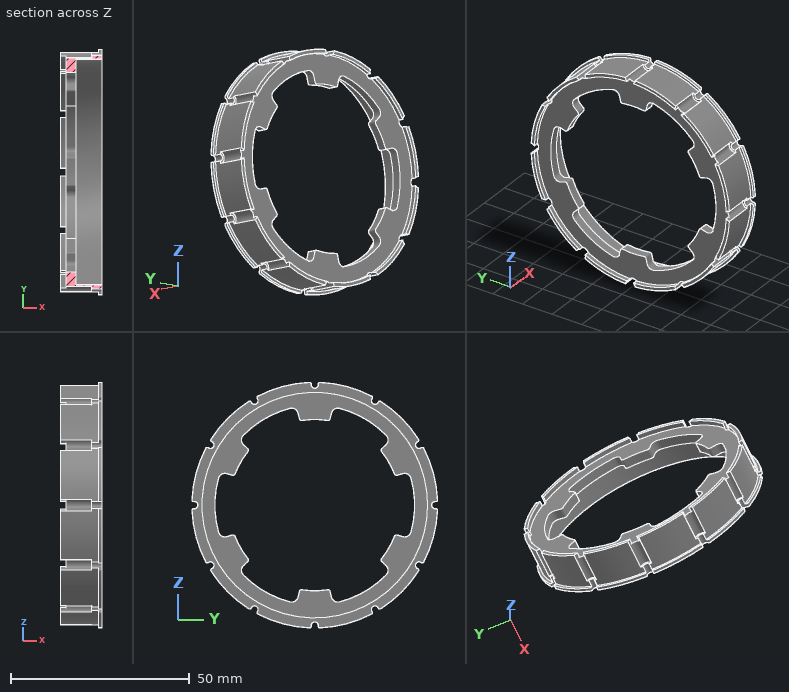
import cadquery as cq
import math

length = 11.7
flange_thickness = 1.0
web_start = 1.5
web_thickness = 2.9
wide_groove_length = 8.7

body_radius = 33.55
rim_inner_radius = 32.45
web_bore_radius = 27.9
rear_bore_radius = 31.55

groove_count = 12
groove_centre_radius = 33.7
wide_groove_radius = 1.65
narrow_groove_radius = 0.95
flange_corner_radius = 0.5

overall_height = 68.7
corner_centre_height = overall_height / 2 - flange_corner_radius
corner_centre_offset = narrow_groove_radius + flange_corner_radius
flange_radius = flange_corner_radius + math.hypot(corner_centre_height, corner_centre_offset)

lug_count = 6
lug_tip_radius = 23.9
lug_tip_half_width = 4.25
lug_flank_angle = 14.0
lug_tip_fillet = 0.6
lug_root_fillet = 1.8

overlap = 0.7


def disc(radius, start, thickness):
    """Solid cylinder on the X axis."""
    return cq.Workplane("YZ", origin=(start, 0, 0)).circle(radius).extrude(thickness)


def around_axis(feature, count):
    """Union of equally spaced copies of a feature about the X axis."""
    copies = feature
    for index in range(1, count):
        copies = copies.union(feature.rotate((0, 0, 0), (1, 0, 0), index * 360 / count))
    return copies


def distance_from_axis(edge):
    """Distance of an edge's centre from the X axis."""
    centre = edge.Center()
    return math.hypot(centre.y, centre.z)


def turned_ring():
    """Flanged sleeve with a recessed, thicker web near the open rim."""
    web_end = web_start + web_thickness
    ring = disc(body_radius, 0, length)
    ring = ring.union(disc(flange_radius, length - flange_thickness, flange_thickness))
    ring = ring.cut(disc(rim_inner_radius, 0, web_start))
    ring = ring.cut(disc(web_bore_radius, web_start, web_thickness))
    return ring.cut(disc(rear_bore_radius, web_end, length - web_end))


def web_opening():
    """Bore of the web, with the lugs left standing and their corners rounded."""
    flank_slope = math.tan(math.radians(lug_flank_angle))
    base_height = lug_tip_radius - overlap
    root_height = web_bore_radius + overlap
    base_half_width = lug_tip_half_width - overlap * flank_slope
    root_half_width = lug_tip_half_width + (root_height - lug_tip_radius) * flank_slope
    lug = (
        cq.Workplane("YZ", origin=(web_start, 0, 0))
        .polyline([
            (-base_half_width, base_height),
            (base_half_width, base_height),
            (root_half_width, root_height),
            (-root_half_width, root_height),
        ])
        .close()
        .extrude(web_thickness)
        .cut(disc(lug_tip_radius, web_start, web_thickness))
    )
    opening = disc(web_bore_radius, web_start, web_thickness).cut(around_axis(lug, lug_count))
    middle_radius = (lug_tip_radius + web_bore_radius) / 2

    def rounded(solid, is_root, fillet):
        corners = [
            edge for edge in solid.edges("|X").vals()
            if (distance_from_axis(edge) > middle_radius) == is_root
        ]
        return solid.newObject(corners).fillet(fillet)

    opening = rounded(opening, True, lug_root_fillet)
    return rounded(opening, False, lug_tip_fillet)


def lugged_web():
    """Web plate from the rim wall inward to the lug tips."""
    blank = disc(web_bore_radius + overlap, web_start, web_thickness)
    return blank.cut(web_opening())


def groove():
    """One stepped groove along the top, open outward through the flange."""
    channel_top = flange_radius - groove_centre_radius + overlap

    def channel(radius, start, end):
        half_round = (
            cq.Workplane("YZ", origin=(start, 0, groove_centre_radius))
            .moveTo(-radius, 0)
            .threePointArc((0, -radius), (radius, 0))
            .lineTo(radius, channel_top)
            .lineTo(-radius, channel_top)
            .close()
        )
        return half_round.extrude(end - start)

    wide = channel(wide_groove_radius, 0, wide_groove_length)
    return wide.union(channel(narrow_groove_radius, wide_groove_length, length))


def round_flange_corners(ring):
    """Round the flange corners beside each groove."""
    middle_radius = (flange_radius + groove_centre_radius) / 2
    corners = [
        edge for edge in ring.edges("|X").vals()
        if distance_from_axis(edge) > middle_radius
    ]
    return ring.newObject(corners).fillet(flange_corner_radius)


ring = turned_ring().union(lugged_web())
ring = ring.cut(around_axis(groove(), groove_count))
result = round_flange_corners(ring)